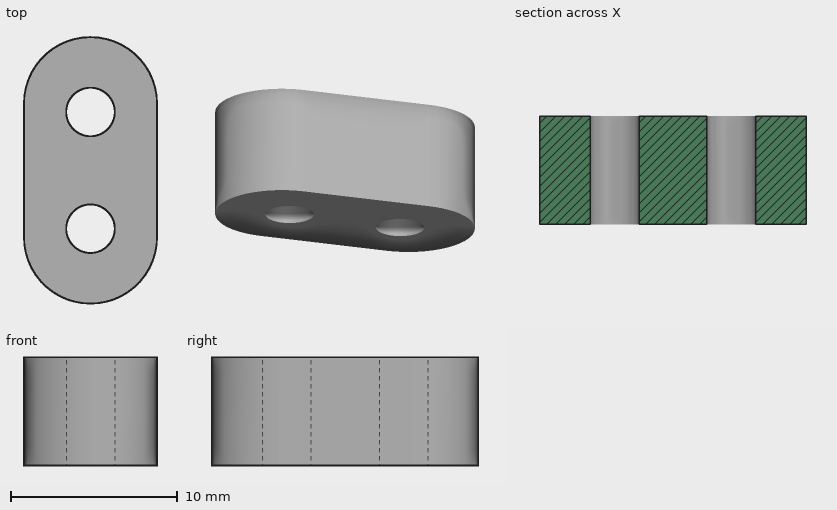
import cadquery as cq

WIDTH = 8.0
LENGTH = 16.0
HEIGHT = 6.5
HOLE_DIAMETER = 2.9
HOLE_SPACING = 7.0


def make_body():
    """Block with full-round ends, long side along Y."""
    return cq.Workplane("XY").slot2D(LENGTH, WIDTH, angle=90).extrude(HEIGHT)


def drill_holes(body):
    """Two through holes on the long centre line."""
    hole_centres = [(0, -HOLE_SPACING / 2), (0, HOLE_SPACING / 2)]
    return body.faces(">Z").workplane().pushPoints(hole_centres).hole(HOLE_DIAMETER)


result = drill_holes(make_body())